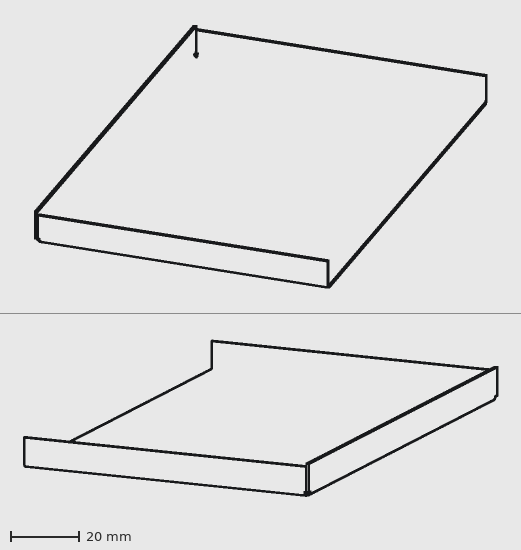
import cadquery as cq

length_x = 91.7
width_y = 135.2
end_wall_height = 10.0
side_wall_height = 9.0

sheet = 0.75
inner_bend = 0.65
outer_bend = sheet + inner_bend

corner_gap = 0.2
side_wall_start = sheet + corner_gap

x_min = -length_x / 2
y_min = -width_y / 2


def bent_flange(height, run):
    """Bend and upright wall, outer face on local X = 0, extruded by run."""
    return (
        cq.Workplane("XZ")
        .moveTo(outer_bend, 0)
        .radiusArc((0, outer_bend), outer_bend)
        .lineTo(0, height)
        .lineTo(sheet, height)
        .lineTo(sheet, outer_bend)
        .radiusArc((outer_bend, sheet), -inner_bend)
        .close()
        .extrude(run / 2, both=True)
    )


def upright(x_start, x_end, y_start, y_end, height):
    """Flat wall between the top of a bend and the given height."""
    return cq.Workplane("XY").box(
        x_end - x_start, y_end - y_start, height - outer_bend, centered=False
    ).translate((x_start, y_start, outer_bend))


floor_x = length_x - outer_bend
floor_y = width_y - 2 * outer_bend
floor = cq.Workplane("XY").box(floor_x, floor_y, sheet, centered=False).translate(
    (x_min + outer_bend, y_min + outer_bend, 0)
)

end_bend = bent_flange(end_wall_height, floor_y).translate((x_min, 0, 0))
end_upright = upright(
    x_min, x_min + sheet, y_min, -y_min, end_wall_height
)

side_bend = (
    bent_flange(side_wall_height, floor_x)
    .rotate((0, 0, 0), (0, 0, 1), 90)
    .translate((outer_bend / 2, y_min, 0))
)
side_upright = upright(
    x_min + side_wall_start, -x_min, y_min, y_min + sheet, side_wall_height
)
side_wall = side_bend.union(side_upright)

result = (
    floor.union(end_bend)
    .union(end_upright)
    .union(side_wall)
    .union(side_wall.mirror("XZ"))
)